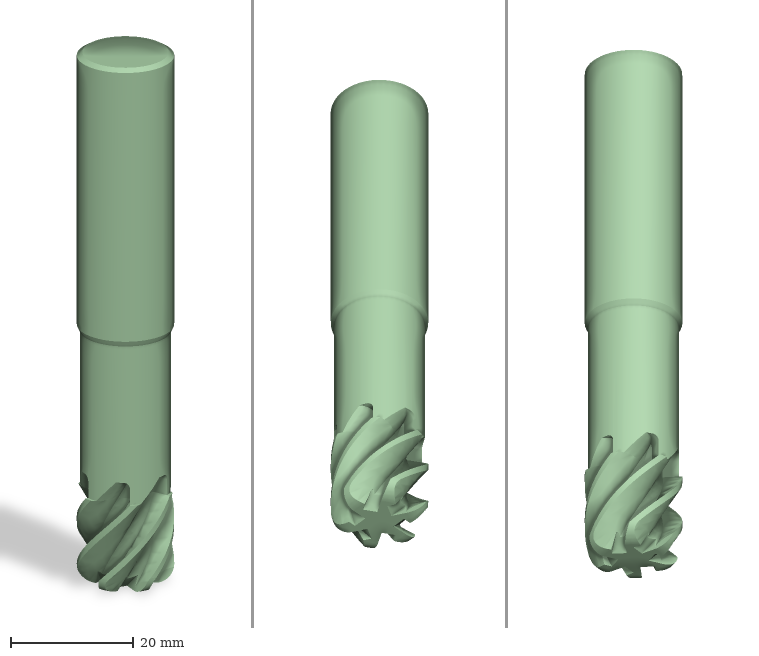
import cadquery as cq
import math

total_length = 93.0
cutter_diameter = 16.0
cutter_radius = cutter_diameter / 2
head_length = 16.2
corner_radius = 3.0

neck_radius = 7.49
shank_start = 45.1
shoulder_height = 1.0
top_chamfer_width = 0.9
top_chamfer_height = 0.6

flute_count = 6
flute_pitch_angle = 360.0 / flute_count
helix_angle = 45.0
helix_lead = math.pi * cutter_diameter / math.tan(math.radians(helix_angle))
edge_angle_at_head_top = -67.0
section_radius = 8.4
relief_start_angle = 5.5
relief_mid_radius = 6.8
relief_mid_angle = 22.0
gullet_start_radius = 4.6
gullet_start_angle = 40.0
gullet_floor_radius = 4.4
gullet_end_radius = 4.8
gullet_end_angle = 66.0
runout_top = 20.1
runout_rounding = 1.1

gash_reach = 9.3
gash_height = 2.6
gash_width = 2.4
gash_inner_radius = 2.3
gash_ceiling_radius = 4.65
gash_lean = 0.9


def twist_over(height):
    """Angle the helix turns through over an axial height."""
    return 360.0 * height / helix_lead


def polar(radius, angle):
    """Point at a radius and an angle in degrees."""
    return (radius * math.cos(math.radians(angle)), radius * math.sin(math.radians(angle)))


def flute_section(base_z, edge_angle):
    """Cross-section of one flute, from the back of a tooth to the next cutting edge."""
    next_edge = edge_angle + flute_pitch_angle
    relief_start = edge_angle + relief_start_angle
    return (
        cq.Workplane("XY", origin=(0, 0, base_z))
        .moveTo(*polar(section_radius, relief_start))
        .threePointArc(
            polar(relief_mid_radius, edge_angle + relief_mid_angle),
            polar(gullet_start_radius, edge_angle + gullet_start_angle),
        )
        .threePointArc(
            polar(gullet_floor_radius, edge_angle + (gullet_start_angle + gullet_end_angle) / 2),
            polar(gullet_end_radius, edge_angle + gullet_end_angle),
        )
        .lineTo(*polar(section_radius, next_edge))
        .threePointArc(
            polar(section_radius, (relief_start + next_edge) / 2),
            polar(section_radius, relief_start),
        )
        .close()
    )


def helical_flute(index):
    """Flute that winds up the whole cutting head."""
    edge_angle = edge_angle_at_head_top - twist_over(head_length) + index * flute_pitch_angle
    return flute_section(0, edge_angle).twistExtrude(head_length, twist_over(head_length))


def flute_runout(index):
    """Flute end in the neck: the helix goes on, but the wall beside the cutting edge stays axial."""
    edge_angle = edge_angle_at_head_top + index * flute_pitch_angle
    height = runout_top - head_length
    winding = flute_section(head_length, edge_angle).twistExtrude(height, twist_over(height))
    straight = flute_section(head_length, edge_angle).extrude(height)
    straight = straight.faces(">Z").edges().fillet(runout_rounding)
    return winding.intersect(straight)


def end_gash(index):
    """Leaning slot ahead of a cutting edge at the tip, its ceiling rising outward."""
    edge_angle = edge_angle_at_head_top - twist_over(head_length - gash_height) + index * flute_pitch_angle
    leaning_slot = (
        cq.Workplane("YZ")
        .moveTo(0, gash_height)
        .lineTo(-gash_width, gash_height)
        .lineTo(-gash_width - gash_lean, 0)
        .lineTo(-gash_lean, 0)
        .close()
        .extrude(gash_reach)
    )
    rising_wedge = (
        cq.Workplane("XZ")
        .moveTo(gash_inner_radius, 0)
        .lineTo(gash_reach, 0)
        .lineTo(gash_reach, gash_height)
        .lineTo(gash_ceiling_radius, gash_height)
        .close()
        .extrude(gash_width + gash_lean)
    )
    return leaning_slot.intersect(rising_wedge).rotate((0, 0, 0), (0, 0, 1), edge_angle)


def make_cutting_head():
    """Fluted head with rounded end corners."""
    head = cq.Workplane("XY").circle(cutter_radius).extrude(head_length)
    head = head.faces("<Z").edges().fillet(corner_radius)
    for index in range(flute_count):
        head = head.cut(helical_flute(index))
    for index in range(flute_count):
        head = head.cut(end_gash(index))
    return head


def make_shank():
    """Stepped shank: neck, conical shoulder, and gripping length with a chamfered top."""
    shank = (
        cq.Workplane("XZ")
        .moveTo(0, head_length)
        .lineTo(neck_radius, head_length)
        .lineTo(neck_radius, shank_start - shoulder_height)
        .lineTo(cutter_radius, shank_start)
        .lineTo(cutter_radius, total_length - top_chamfer_height)
        .lineTo(cutter_radius - top_chamfer_width, total_length)
        .lineTo(0, total_length)
        .close()
        .revolve(360, (0, 0, 0), (0, 1, 0))
    )
    for index in range(flute_count):
        shank = shank.cut(flute_runout(index))
    return shank


cutting_head = make_cutting_head()
shank = make_shank()
result = cq.Compound.makeCompound([cutting_head.val(), shank.val()])